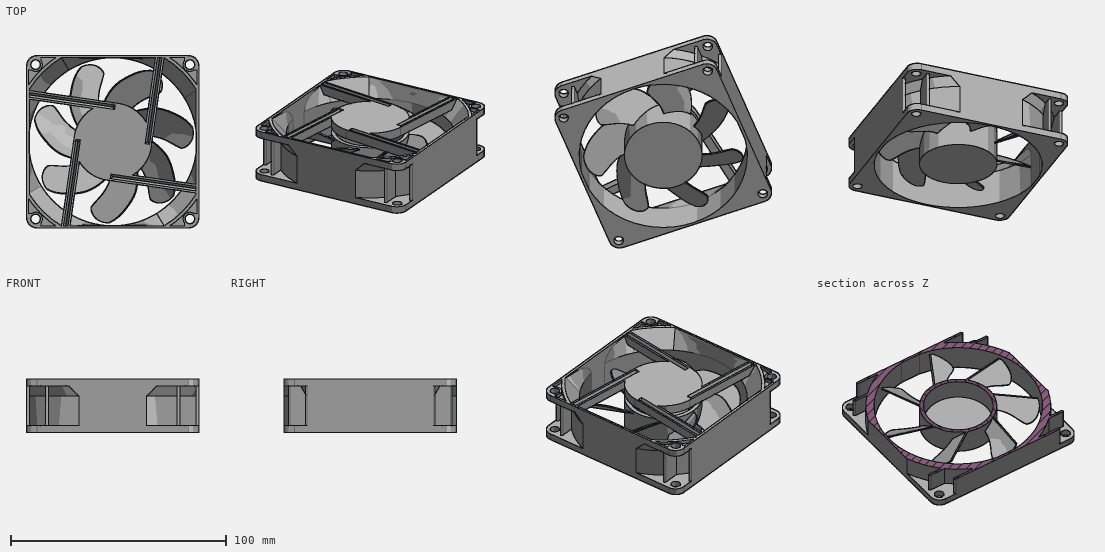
import cadquery as cq
import math

SIDE = 80.0
HEIGHT = 25.0
CORNER_RADIUS = 5.0
FLANGE = 3.3
WALL = 1.4
INNER_HALF = SIDE / 2 - WALL

BORE_RADIUS = 39.0
MOUTH_RADIUS = 45.7
MOUTH_HALF = BORE_RADIUS
FLARE_BASE_Z = 17.0
DUCT_OUTER_RADIUS = 43.0
FLARE_OUTER_RADIUS = 44.9

WINDOW_TOP_Z = HEIGHT - FLANGE
SIDE_WALL_END = 29.9
RIB_OUTER_X = 31.2
RIB_END_Y = 37.9
HOLE_OFFSET = 35.8
HOLE_DIAMETER = 4.3
BOSS_RADIUS = 3.1
BOSS_INNER_EDGE = 33.3
POCKET_INNER_RADIUS = 47.1
POCKET_DEPTH = 1.6

PLATE_DIAMETER = 36.0
PLATE_THICKNESS = 4.5
STRUT_WIDTH = 4.0
STRUT_ANGLE = 8.2
STRUT_COUNT = 4
STRUT_CENTRE_Y = (PLATE_DIAMETER - STRUT_WIDTH) / 2
STRUT_REACH = (SIDE - WALL) / 2
GROOVE_WIDTH = 2.1
GROOVE_DEPTH = 3.0
GROOVE_FLOOR_WIDTH = 0.1
GROOVE_END = 1.3

HUB_DIAMETER = 36.0
HUB_CAVITY_DIAMETER = 32.0
HUB_BOTTOM_Z = 0.5
HUB_TOP_Z = 17.5
HUB_FLOOR = 2.4
BLADE_COUNT = 7
BLADE_ROOT_RADIUS = 17.2
BLADE_AXIS_ANGLE = -6.0
BLADE_THICKNESS = 0.6
BLADE_ROOT_STATION = 8.0
BLADE_ROOT_ARC = [(-3.2, 3.6), (8.0, 10.6), (19.2, 19.0)]
BLADE_TIP_STATION = 38.4
BLADE_TIP_ARC = [(-3.2, 3.7), (8.0, 9.3), (19.2, 22.4)]
BLADE_RAISED_EDGE = [(16.0, 58.0), (21.9, 44.9), (26.6, 35.8), (31.1, 25.6), (35.5, 16.2), (37.6, 10.5)]
BLADE_TIP = [(47.0, 10.5), (37.4, 4.3), (35.8, -0.8), (32.0, -5.1)]
BLADE_LOWERED_EDGE = [(40.0, -5.1), (30.3, -4.0), (25.4, 1.4), (19.0, 8.4), (16.0, 11.0)]


def polar(radius, degrees):
    angle = math.radians(degrees)
    return (radius * math.cos(angle), radius * math.sin(angle))


def slab(half_x, half_y, z_low, z_high):
    return cq.Workplane().workplane(offset=z_low).rect(2 * half_x, 2 * half_y).extrude(z_high - z_low)


def turned(shape, degrees):
    return shape.rotate((0, 0, 0), (0, 0, 1), degrees)


def corner_points(offset):
    return [(i * offset, j * offset) for i in (-1, 1) for j in (-1, 1)]


def duct_opening():
    """Round bore widening to a rounded square mouth, flattened where it meets the side walls."""
    bore = cq.Workplane().circle(BORE_RADIUS).extrude(FLARE_BASE_Z)
    flat_half = math.degrees(math.acos(MOUTH_HALF / MOUTH_RADIUS))

    def ring(z, radius, straight_sides):
        """Closed outline of four sides and four corner arcs, each side straight or an arc."""

        def point(angle):
            return cq.Vector(*polar(radius, angle), z)

        edges = []
        for middle in (0, 90, 180, 270):
            start = point(middle - flat_half)
            end = point(middle + flat_half)
            if straight_sides:
                edges.append(cq.Edge.makeLine(start, end))
            else:
                edges.append(cq.Edge.makeThreePointArc(start, point(middle), end))
            next_start = point(middle + 90 - flat_half)
            edges.append(cq.Edge.makeThreePointArc(end, point(middle + 45), next_start))
        return cq.Wire.assembleEdges(edges)

    base = ring(FLARE_BASE_Z, BORE_RADIUS, False)
    mouth = ring(HEIGHT, MOUTH_RADIUS, True)
    flare = cq.Solid.makeLoft([base, mouth], True)
    return bore.union(cq.Workplane(flare)).intersect(slab(INNER_HALF, MOUTH_HALF, 0, HEIGHT))


def duct_shell():
    """Outside of the air duct between the flanges, a cylinder that flares near its top."""
    profile = [
        (0, FLANGE),
        (DUCT_OUTER_RADIUS, FLANGE),
        (DUCT_OUTER_RADIUS, FLARE_BASE_Z),
        (FLARE_OUTER_RADIUS, WINDOW_TOP_Z),
        (0, WINDOW_TOP_Z),
    ]
    return cq.Workplane("XZ").polyline(profile).close().revolve(360, (0, 0), (0, 1))


def upright_wall(outer_x, end_y):
    """Pair of walls parallel to Y, mirrored about the YZ plane, with fully rounded ends."""
    centre_x = outer_x - WALL / 2
    return (
        cq.Workplane()
        .workplane(offset=FLANGE)
        .pushPoints([(centre_x, 0), (-centre_x, 0)])
        .slot2D(2 * end_y, WALL, 90)
        .extrude(WINDOW_TOP_Z - FLANGE)
    )


def corner_windows():
    return (
        slab(SIDE, SIDE, FLANGE, WINDOW_TOP_Z)
        .cut(duct_shell())
        .cut(upright_wall(SIDE / 2, SIDE_WALL_END))
        .cut(upright_wall(RIB_OUTER_X, RIB_END_Y))
    )


def corner_pockets():
    """Shallow recesses in the top face around each mounting boss."""
    floor_z = HEIGHT - POCKET_DEPTH
    boss_size = SIDE / 2 - BOSS_INNER_EDGE
    boss_centre = SIDE / 2 - boss_size / 2
    top = cq.Workplane().workplane(offset=floor_z)
    return (
        slab(MOUTH_HALF, MOUTH_HALF, floor_z, HEIGHT)
        .cut(top.circle(POCKET_INNER_RADIUS).extrude(POCKET_DEPTH))
        .cut(top.pushPoints(corner_points(boss_centre)).rect(boss_size, boss_size).extrude(POCKET_DEPTH))
        .cut(top.pushPoints(corner_points(HOLE_OFFSET)).circle(BOSS_RADIUS).extrude(POCKET_DEPTH))
    )


def strut(turn):
    """Bar tangent to the motor plate and running out into a wall, the -X wall when turn is 0."""
    bar = (
        cq.Workplane()
        .workplane(offset=HEIGHT - PLATE_THICKNESS)
        .center(-SIDE / 2, STRUT_CENTRE_Y)
        .rect(SIDE, STRUT_WIDTH)
        .extrude(PLATE_THICKNESS)
    )
    return turned(bar, turn - STRUT_ANGLE).intersect(slab(STRUT_REACH, STRUT_REACH, 0, HEIGHT))


def strut_groove(turn):
    """V-groove with a sloping inner end in the top of a strut."""
    taper = math.degrees(math.atan((GROOVE_WIDTH - GROOVE_FLOOR_WIDTH) / 2 / GROOVE_DEPTH))
    groove = (
        cq.Workplane()
        .workplane(offset=HEIGHT)
        .center(-GROOVE_END - SIDE / 2, STRUT_CENTRE_Y)
        .rect(SIDE, GROOVE_WIDTH)
        .extrude(-GROOVE_DEPTH, taper=taper)
    )
    return turned(groove, turn - STRUT_ANGLE).intersect(slab(INNER_HALF, MOUTH_HALF, 0, HEIGHT))


def motor_mount():
    """Round motor plate with its struts, flush with the top of the housing."""
    plate_z = HEIGHT - PLATE_THICKNESS
    mount = cq.Workplane().workplane(offset=plate_z).circle(PLATE_DIAMETER / 2).extrude(PLATE_THICKNESS)
    for i in range(STRUT_COUNT):
        mount = mount.union(strut(360 / STRUT_COUNT * i))
    return mount


def make_frame():
    frame = (
        slab(SIDE / 2, SIDE / 2, 0, HEIGHT)
        .edges("|Z")
        .fillet(CORNER_RADIUS)
        .cut(duct_opening())
        .cut(corner_pockets())
    )
    holes = cq.Workplane().pushPoints(corner_points(HOLE_OFFSET)).circle(HOLE_DIAMETER / 2).extrude(HEIGHT)
    frame = frame.cut(holes).union(motor_mount())
    for i in range(STRUT_COUNT):
        frame = frame.cut(strut_groove(360 / STRUT_COUNT * i))
    return frame.cut(corner_windows())


def blade_arc(station, points):
    return cq.Edge.makeThreePointArc(*[cq.Vector(station, offset, height) for offset, height in points])


def make_blade():
    """Twisted, cambered sheet trimmed to the plan outline of one blade."""
    root_arc = blade_arc(BLADE_ROOT_STATION, BLADE_ROOT_ARC)
    tip_arc = blade_arc(BLADE_TIP_STATION, BLADE_TIP_ARC)
    underside = turned(cq.Workplane(cq.Face.makeRuledSurface(tip_arc, root_arc)), BLADE_AXIS_ANGLE)
    raised_edge = [polar(*point) for point in BLADE_RAISED_EDGE]
    tip = [polar(*point) for point in BLADE_TIP]
    lowered_edge = [polar(*point) for point in BLADE_LOWERED_EDGE]
    outline = (
        cq.Workplane()
        .spline(raised_edge)
        .spline(tip[1:], includeCurrent=True)
        .spline(lowered_edge[1:], includeCurrent=True)
        .close()
        .extrude(HEIGHT)
    )
    root = cq.Workplane().circle(BLADE_ROOT_RADIUS).extrude(HEIGHT)
    trimmed = underside.val().intersect(outline.cut(root).val()).Faces()[0]
    return cq.Workplane(trimmed.thicken(BLADE_THICKNESS)).cut(root)


def make_impeller():
    cavity_z = HUB_BOTTOM_Z + HUB_FLOOR
    hub = (
        cq.Workplane()
        .workplane(offset=HUB_BOTTOM_Z)
        .circle(HUB_DIAMETER / 2)
        .extrude(HUB_TOP_Z - HUB_BOTTOM_Z)
    )
    cavity = (
        cq.Workplane()
        .workplane(offset=cavity_z)
        .circle(HUB_CAVITY_DIAMETER / 2)
        .extrude(HUB_TOP_Z - cavity_z)
    )
    impeller = hub.cut(cavity)
    blade = make_blade()
    for i in range(BLADE_COUNT):
        impeller = impeller.union(turned(blade, 360 / BLADE_COUNT * i))
    return impeller


frame = make_frame()
impeller = make_impeller()

result = cq.Compound.makeCompound([frame.val(), impeller.val()])